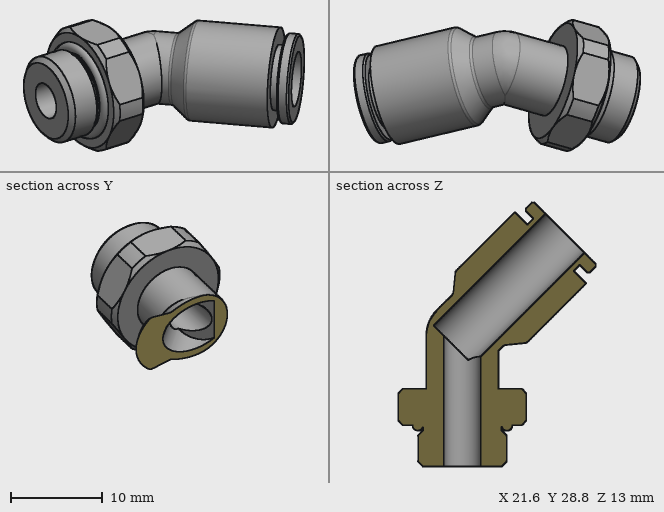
import cadquery as cq
import math


thread_radius = 9.728 / 2
thread_chamfer = 0.57
thread_length = 3.95
groove_radius = thread_radius - thread_chamfer

hex_start = 4.5
hex_height = 4.0
hex_across_flats = 13.0
hex_corner_radius = 7.0
hex_chamfer = hex_corner_radius - hex_across_flats / 2

ring_section_radius = 0.6
ring_radius = thread_radius

pipe_radius = 3.95
bend_position = 14.25
bend_angle = 45.0
bore_radius = 2.0

socket_radius = 5.5
tube_radius = 3.0
cone_start = 2.5
cone_end = 4.4
socket_end = 13.6
cone_fillet = 0.5

neck_radius = 3.6
collar_radius = 4.95
collar_start = 14.5
collar_end = 15.83
collar_chamfer = 0.2

tilt = math.radians(bend_angle)
tilted_plane = cq.Plane(
    origin=(0, bend_position, 0),
    xDir=(math.cos(tilt), -math.sin(tilt), 0),
    normal=(0, 0, 1),
)


def revolve_profile(points):
    """Revolve a closed (radius, height) outline about the Y axis."""
    return cq.Workplane("XY").polyline(points).close().revolve(360, (0, 0, 0), (0, 1, 0))


def tilt_to_branch(body):
    """Place a body built along +Y from the origin onto the tilted axis."""
    return cq.Workplane(body.val().moved(cq.Location(tilted_plane)))


def make_stud():
    return revolve_profile([
        (0, 0),
        (thread_radius - thread_chamfer, 0),
        (thread_radius, thread_chamfer),
        (thread_radius, thread_length - thread_chamfer),
        (groove_radius, thread_length),
        (groove_radius, hex_start),
        (pipe_radius, hex_start),
        (pipe_radius, bend_position),
        (0, bend_position),
    ])


def make_hexagon():
    across_corners = hex_across_flats / math.cos(math.pi / 6)
    prism = (
        cq.Workplane("XZ", origin=(0, hex_start, 0))
        .polygon(6, across_corners)
        .extrude(-hex_height)
    )
    turned_blank = (
        cq.Workplane("XZ", origin=(0, hex_start, 0))
        .circle(hex_corner_radius)
        .extrude(-hex_height)
        .edges("%CIRCLE")
        .chamfer(hex_chamfer)
    )
    return prism.intersect(turned_blank)


def make_sealing_ring():
    return (
        cq.Workplane("XY")
        .center(ring_radius, hex_start)
        .circle(ring_section_radius)
        .revolve(360, (-ring_radius, 0, 0), (-ring_radius, 1, 0))
    )


def make_bend():
    return cq.Workplane("XY", origin=(0, bend_position, 0)).sphere(pipe_radius)


def make_socket():
    body = revolve_profile([
        (0, 0),
        (pipe_radius, 0),
        (pipe_radius, cone_start),
        (socket_radius, cone_end),
        (socket_radius, socket_end),
        (0, socket_end),
    ])
    rounded_body = body.faces("%CONE").edges("%CIRCLE").fillet(cone_fillet)
    return tilt_to_branch(rounded_body)


def make_collar():
    neck = cq.Workplane("XZ", origin=(0, cone_end, 0)).circle(neck_radius).extrude(cone_end - collar_end)
    flange = (
        cq.Workplane("XZ", origin=(0, collar_start, 0))
        .circle(collar_radius)
        .extrude(collar_start - collar_end)
        .edges("%CIRCLE")
        .chamfer(collar_chamfer)
    )
    return tilt_to_branch(neck.union(flange))


def make_stud_bore():
    return cq.Workplane("XZ").circle(bore_radius).extrude(-bend_position)


def make_tube_passage():
    """Passage for the inserted tube, started deep enough to take in the whole end of the stud bore."""
    overlap = bore_radius * math.sin(tilt)
    passage = (
        cq.Workplane("XZ", origin=(0, -overlap, 0))
        .circle(tube_radius)
        .extrude(-(overlap + collar_end))
    )
    return tilt_to_branch(passage)


result = (
    make_stud()
    .union(make_hexagon())
    .union(make_sealing_ring())
    .union(make_bend())
    .union(make_socket())
    .union(make_collar())
    .cut(make_stud_bore())
    .cut(make_tube_passage())
)